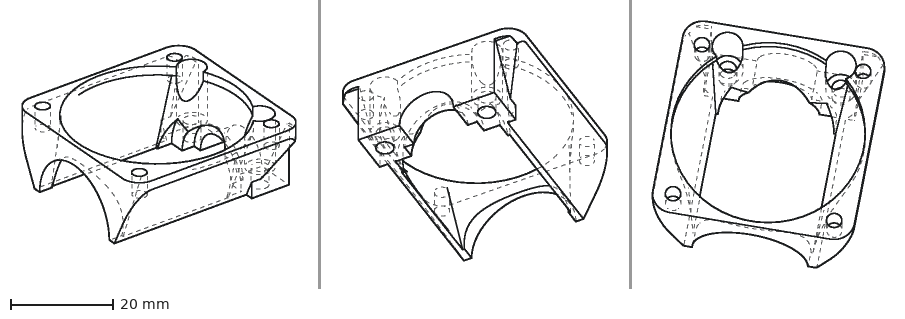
import cadquery as cq
import math

width = 40.0
depth = 41
height = 16
front_y = -width / 2
back_y = front_y + depth
corner_radius = 4.0

rim_bottom_z = 14.0
foot_half_width = 13.2

block_half_width = 15.0
block_length = 9
relief_foot_length = 6.75
relief_top_length = 0.6

opening_radius = 19.0
outlet_half_width = 11.9
outlet_back_y = back_y - 12.5
outlet_front_y = front_y + 3.05

front_bore_radius = 11.5
seat_bore_radius = 8.0
through_bore_radius = 5.95
seat_wall_thickness = 6.1

corner_hole_spacing = 32
corner_hole_diameter = 3.0
corner_hole_depth = 4.9

screw_half_spacing = 11.25
screw_pair_offset = 0.25
screw_back_distance = 4.5
screw_hole_diameter = 3.53
screw_head_diameter = 6.0
screw_floor_thickness = 4.0


def box_between(x_min, x_max, y_min, y_max, z_min, z_max):
    size = (x_max - x_min, y_max - y_min, z_max - z_min)
    return cq.Workplane("XY").box(*size, centered=False).translate((x_min, y_min, z_min))


def side_slope_height(x):
    """Height at which the tapered side reaches the half-width x."""
    return rim_bottom_z * (x - foot_half_width) / (width / 2 - foot_half_width)


def make_body():
    rounded = (
        box_between(-width / 2, width / 2, front_y, back_y, 0, height)
        .edges("|Z")
        .fillet(corner_radius)
    )
    tapered = (
        cq.Workplane("XZ", origin=(0, back_y, 0))
        .moveTo(-foot_half_width, 0)
        .lineTo(foot_half_width, 0)
        .lineTo(width / 2, rim_bottom_z)
        .lineTo(width / 2, height)
        .lineTo(-width / 2, height)
        .lineTo(-width / 2, rim_bottom_z)
        .close()
        .extrude(depth)
    )
    return rounded.intersect(tapered)


def make_side_reliefs():
    """Slanted cuts under the rim, outside the sides of the mounting block."""
    profile = (
        cq.Workplane("YZ", origin=(-width / 2, 0, 0))
        .moveTo(back_y, 0)
        .lineTo(back_y, rim_bottom_z)
        .lineTo(back_y - relief_top_length, rim_bottom_z)
        .lineTo(back_y - relief_foot_length, side_slope_height(block_half_width))
        .lineTo(back_y - relief_foot_length, 0)
        .close()
        .extrude(width)
    )
    return profile.cut(
        box_between(-block_half_width, block_half_width, front_y, back_y, 0, height)
    )


def make_mounting_block():
    return box_between(
        -block_half_width,
        block_half_width,
        back_y - block_length,
        back_y,
        0,
        side_slope_height(block_half_width),
    )


def make_funnel():
    diagonal = opening_radius * math.sqrt(0.5)
    circle_in_quarters = (
        cq.Workplane("XY", origin=(0, 0, rim_bottom_z))
        .moveTo(-diagonal, -diagonal)
        .threePointArc((0, -opening_radius), (diagonal, -diagonal))
        .threePointArc((opening_radius, 0), (diagonal, diagonal))
        .threePointArc((0, opening_radius), (-diagonal, diagonal))
        .threePointArc((-opening_radius, 0), (-diagonal, -diagonal))
        .close()
    )
    outlet = (
        cq.Workplane("XY")
        .moveTo(-outlet_half_width, outlet_front_y)
        .lineTo(outlet_half_width, outlet_front_y)
        .lineTo(outlet_half_width, outlet_back_y)
        .lineTo(-outlet_half_width, outlet_back_y)
        .close()
    )
    cone = cq.Solid.makeLoft([outlet.val(), circle_in_quarters.val()], True)
    round_opening = (
        cq.Workplane("XY", origin=(0, 0, rim_bottom_z))
        .circle(opening_radius)
        .extrude(height - rim_bottom_z)
    )
    return round_opening.union(cq.Workplane(cone))


def make_bore(radius, end_y):
    """Cylinder along Y from the front face to end_y."""
    return cq.Workplane("XZ", origin=(0, end_y, 0)).circle(radius).extrude(end_y - front_y)


result = make_body().cut(make_side_reliefs()).union(make_mounting_block())
result = result.cut(make_funnel())

bore_steps = [
    (front_bore_radius, back_y - block_length),
    (seat_bore_radius, back_y - seat_wall_thickness),
    (through_bore_radius, back_y),
]
for radius, end_y in bore_steps:
    result = result.cut(make_bore(radius, end_y))

corner_holes = (
    cq.Workplane("XY", origin=(0, 0, height))
    .rect(corner_hole_spacing, corner_hole_spacing, forConstruction=True)
    .vertices()
    .circle(corner_hole_diameter / 2)
    .extrude(-corner_hole_depth)
)
result = result.cut(corner_holes)

screw_y = back_y - screw_back_distance
screw_places = [(screw_pair_offset + side * screw_half_spacing, screw_y) for side in (-1, 1)]
screw_holes = (
    cq.Workplane("XY").pushPoints(screw_places).circle(screw_hole_diameter / 2).extrude(height)
)
screw_heads = (
    cq.Workplane("XY", origin=(0, 0, screw_floor_thickness))
    .pushPoints(screw_places)
    .circle(screw_head_diameter / 2)
    .extrude(height - screw_floor_thickness)
)
result = result.cut(screw_holes).cut(screw_heads)